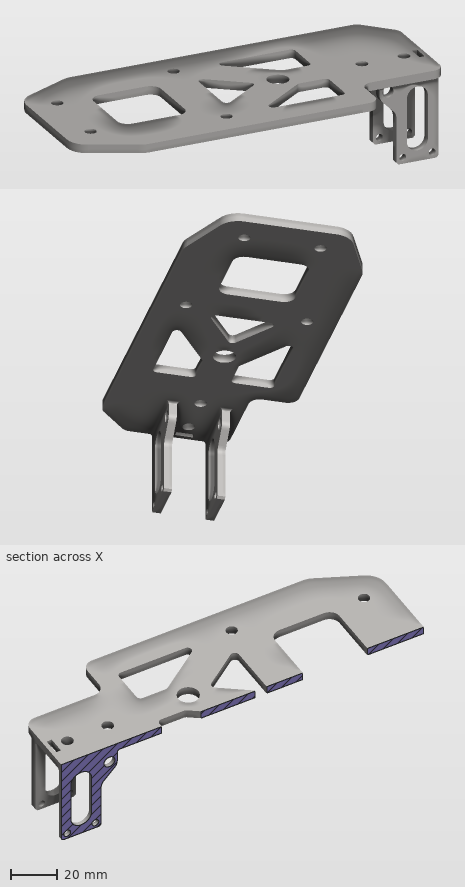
import cadquery as cq

plate_length = 180.0
plate_thickness = 4.0
half_width = 40.0
rear_half_width = 27.0
rear_taper_length = 28.0
rear_corner_radius = 10.0
corner_radius = 5.0
front_chamfer = 14.0
notch_width = 20.0
notch_length = 40.0

search_reach = 0.1

center_hole_diameter = 10.0
center_hole_y = 110.0
front_hole_diameter = 5.5
front_hole_points = [(0, 170.0), (0, 150.0)]
mount_hole_diameter = 5.3
mid_hole_x = 27.0
mid_hole_y = 73.0
rear_hole_x = 17.0
rear_hole_y = 13.0

strap_slot_width = 8.0
strap_slot_length = 2.5
strap_slot_edge_gap = 2.0
strap_slot_y = plate_length - strap_slot_edge_gap - strap_slot_length / 2
square_window_width = 34.0
square_window_length = 32.0
square_window_y = 44.0
square_window_radius = 5.0
side_window_inner_x = 8.0
side_window_outer_x = 27.0
side_window_front_y = 130.0
side_window_bend_y = 116.0
triangle_rear_y = 78.0
triangle_apex_y = 99.8
truss_radius = 2.0
rib_slope = (center_hole_y - mid_hole_y) / mid_hole_x

bracket_thickness = 3.6
bracket_center_x = 11.9
bracket_bottom_z = -44.0
bracket_upper_length = 28.0
bracket_lower_length = 20.0
bracket_step_z = -12.0
bracket_bend_radius = 5.0
bracket_foot_chamfer = 1.0
root_fillet_radius = 1.2
bracket_slot_width = 10.0
bracket_slot_length = 30.0
bracket_slot_z = -24.0
bracket_axis_y = plate_length - bracket_lower_length / 2
foot_hole_diameter = 3.2
foot_hole_offset = 7.0
foot_hole_z = -41.0
pivot_hole_diameter = 5.2
pivot_hole_y = 156.0
pivot_hole_z = -9.0


def plate_prism(points):
    """Closed outline extruded through the plate thickness."""
    return cq.Workplane("XY").polyline(points).close().extrude(-plate_thickness)


def fillet_at(solid, x, y, radius):
    """Round the vertical edge that stands at (x, y)."""
    box = cq.selectors.BoxSelector(
        (x - search_reach, y - search_reach, -plate_thickness),
        (x + search_reach, y + search_reach, 0),
    )
    return solid.edges("|Z").edges(box).fillet(radius)


def make_plate_blank():
    notch_x = half_width - notch_width
    notch_y = plate_length - notch_length
    rear_corners = [
        (-half_width, rear_taper_length),
        (-rear_half_width, 0),
        (rear_half_width, 0),
        (half_width, rear_taper_length),
    ]
    front_corners = [
        (half_width, notch_y),
        (notch_x, notch_y),
        (notch_x, plate_length),
        (-half_width + front_chamfer, plate_length),
        (-half_width, plate_length - front_chamfer),
    ]
    plate = plate_prism(rear_corners + front_corners)
    for x, y in rear_corners:
        plate = fillet_at(plate, x, y, rear_corner_radius)
    for x, y in front_corners:
        plate = fillet_at(plate, x, y, corner_radius)
    return plate


def cut_plate_holes(plate):
    mid_points = [(side * mid_hole_x, mid_hole_y) for side in (-1, 1)]
    rear_points = [(side * rear_hole_x, rear_hole_y) for side in (-1, 1)]
    hole_groups = [
        (center_hole_diameter, [(0, center_hole_y)]),
        (front_hole_diameter, front_hole_points),
        (mount_hole_diameter, mid_points + rear_points),
    ]
    for diameter, points in hole_groups:
        holes = cq.Workplane("XY").pushPoints(points).circle(diameter / 2).extrude(-plate_thickness)
        plate = plate.cut(holes)
    return plate


def make_side_window(side):
    """Window between the plate edge and a diagonal rib; side is -1 or 1."""
    inner_x = side * side_window_inner_x
    outer_x = side * side_window_outer_x
    tip_y = side_window_bend_y - rib_slope * (side_window_outer_x - side_window_inner_x)
    window = plate_prism([
        (inner_x, side_window_front_y),
        (inner_x, side_window_bend_y),
        (outer_x, tip_y),
        (outer_x, side_window_front_y),
    ])
    return window.edges("|Z").fillet(truss_radius)


def make_triangle_window():
    half_base = (triangle_apex_y - triangle_rear_y) / rib_slope
    window = plate_prism([
        (-half_base, triangle_rear_y),
        (half_base, triangle_rear_y),
        (0, triangle_apex_y),
    ])
    return window.edges("|Z").fillet(truss_radius)


def make_rectangle_window(width, length, center_y):
    return cq.Workplane("XY").center(0, center_y).rect(width, length).extrude(-plate_thickness)


def cut_plate_windows(plate):
    square = make_rectangle_window(square_window_width, square_window_length, square_window_y)
    plate = plate.cut(square.edges("|Z").fillet(square_window_radius))
    plate = plate.cut(make_rectangle_window(strap_slot_width, strap_slot_length, strap_slot_y))
    plate = plate.cut(make_triangle_window())
    for side in (-1, 1):
        plate = plate.cut(make_side_window(side))
    return plate


def bracket_plane(center_x):
    """YZ sketch plane on the low-X face of a bracket."""
    return cq.Workplane("YZ", origin=(center_x - bracket_thickness / 2, 0, 0))


def make_bracket_blank(center_x):
    upper_y = plate_length - bracket_upper_length
    lower_y = plate_length - bracket_lower_length
    slope_end_z = bracket_step_z - (bracket_upper_length - bracket_lower_length)
    blank = (
        bracket_plane(center_x)
        .polyline([
            (plate_length, -plate_thickness),
            (plate_length, bracket_bottom_z),
            (lower_y, bracket_bottom_z),
            (lower_y, slope_end_z),
            (upper_y, bracket_step_z),
            (upper_y, -plate_thickness),
        ])
        .close()
        .extrude(bracket_thickness)
    )
    blank = blank.faces("<Z").edges("|X").chamfer(bracket_foot_chamfer)
    for y, z in [(lower_y, slope_end_z), (upper_y, bracket_step_z)]:
        nearest = cq.selectors.NearestToPointSelector((center_x, y, z))
        blank = blank.edges("|X").edges(nearest).fillet(bracket_bend_radius)
    return blank


def make_bracket_cutouts(center_x):
    foot_points = [(bracket_axis_y + side * foot_hole_offset, foot_hole_z) for side in (-1, 1)]
    slot = (
        bracket_plane(center_x)
        .center(bracket_axis_y, bracket_slot_z)
        .slot2D(bracket_slot_length, bracket_slot_width, 90)
        .extrude(bracket_thickness)
    )
    foot_holes = (
        bracket_plane(center_x)
        .pushPoints(foot_points)
        .circle(foot_hole_diameter / 2)
        .extrude(bracket_thickness)
    )
    pivot_hole = (
        bracket_plane(center_x)
        .center(pivot_hole_y, pivot_hole_z)
        .circle(pivot_hole_diameter / 2)
        .extrude(bracket_thickness)
    )
    return slot.union(foot_holes).union(pivot_hole)


def fillet_bracket_root(body, center_x):
    """Round the inner corners where a bracket meets the underside of the plate.

    The box stops short of the front edge, where bracket and plate are flush.
    """
    reach_x = bracket_thickness / 2 + search_reach
    root_box = cq.selectors.BoxSelector(
        (
            center_x - reach_x,
            plate_length - bracket_upper_length - search_reach,
            -plate_thickness - search_reach,
        ),
        (
            center_x + reach_x,
            plate_length - search_reach,
            -plate_thickness + search_reach,
        ),
    )
    return body.edges(root_box).fillet(root_fillet_radius)


def add_bracket(body, center_x):
    body = body.union(make_bracket_blank(center_x))
    body = fillet_bracket_root(body, center_x)
    return body.cut(make_bracket_cutouts(center_x))


result = cut_plate_windows(cut_plate_holes(make_plate_blank()))
for side in (-1, 1):
    result = add_bracket(result, side * bracket_center_x)